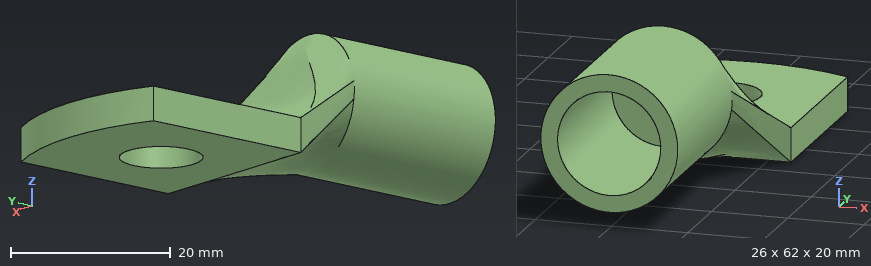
import cadquery as cq
import math

total_length = 62.0
palm_width = 26.0
palm_thickness = 4.5
palm_tip_rise = 3.0
stud_hole_diameter = 10.5
stud_hole_from_tip = 15.0

barrel_diameter = 18.0
bore_diameter = 13.5
barrel_length = 23.0
neck_length = 12.0
total_height = 20.0

neck_profile = [(3.0, 2.1), (5.65, 4.95), (9.4, 11.8)]
neck_end_slope = (-1, 1.4)
scoop_clearance = 1.85

side_arc_half_angle = math.radians(7.5)

barrel_radius = barrel_diameter / 2
barrel_axis_z = total_height - barrel_radius
palm_start_y = barrel_length + neck_length
half_width = palm_width / 2


def make_palm():
    shoulder_y = total_length - palm_tip_rise
    outline = (
        cq.Workplane("XY")
        .moveTo(-half_width, palm_start_y)
        .lineTo(half_width, palm_start_y)
        .lineTo(half_width, shoulder_y)
        .threePointArc((0, total_length), (-half_width, shoulder_y))
        .close()
    )
    hole = (
        cq.Workplane("XY")
        .center(0, total_length - stud_hole_from_tip)
        .circle(stud_hole_diameter / 2)
        .extrude(palm_thickness)
    )
    return outline.extrude(palm_thickness).cut(hole)


def make_barrel():
    return (
        cq.Workplane("XZ", origin=(0, 0, barrel_axis_z))
        .circle(barrel_radius)
        .circle(bore_diameter / 2)
        .extrude(-barrel_length)
    )


def barrel_point(angle):
    return cq.Vector(
        barrel_radius * math.cos(angle),
        barrel_length,
        barrel_axis_z + barrel_radius * math.sin(angle),
    )


def make_neck():
    a = side_arc_half_angle
    corner_angles = [-a, a, math.pi - a, math.pi + a, 2 * math.pi - a]
    barrel_arcs = [
        cq.Edge.makeThreePointArc(
            barrel_point(start), barrel_point((start + end) / 2), barrel_point(end)
        )
        for start, end in zip(corner_angles, corner_angles[1:])
    ]
    palm_corners = [
        cq.Vector(half_width, palm_start_y, 0),
        cq.Vector(half_width, palm_start_y, palm_thickness),
        cq.Vector(-half_width, palm_start_y, palm_thickness),
        cq.Vector(-half_width, palm_start_y, 0),
    ]
    round_end = cq.Wire.assembleEdges(barrel_arcs)
    flat_end = cq.Wire.makePolygon(palm_corners, close=True)
    neck = cq.Workplane("XY").add(cq.Solid.makeLoft([flat_end, round_end], True))
    return neck.cut(make_neck_scoop())


def make_neck_scoop():
    side_edge_top_z = barrel_axis_z + barrel_radius * math.sin(side_arc_half_angle)
    start = (palm_start_y, palm_thickness)
    end = (barrel_length, total_height)
    through = [
        (palm_start_y - distance, palm_thickness + rise) for distance, rise in neck_profile
    ]
    start_slope = (-neck_length, side_edge_top_z - palm_thickness)
    return (
        cq.Workplane("YZ")
        .moveTo(*start)
        .spline(through + [end], tangents=[start_slope, neck_end_slope], includeCurrent=True)
        .lineTo(barrel_length, total_height + scoop_clearance)
        .lineTo(palm_start_y + scoop_clearance, total_height + scoop_clearance)
        .lineTo(palm_start_y + scoop_clearance, palm_thickness)
        .close()
        .extrude(half_width + scoop_clearance, both=True)
    )


result = make_palm().union(make_neck()).union(make_barrel())